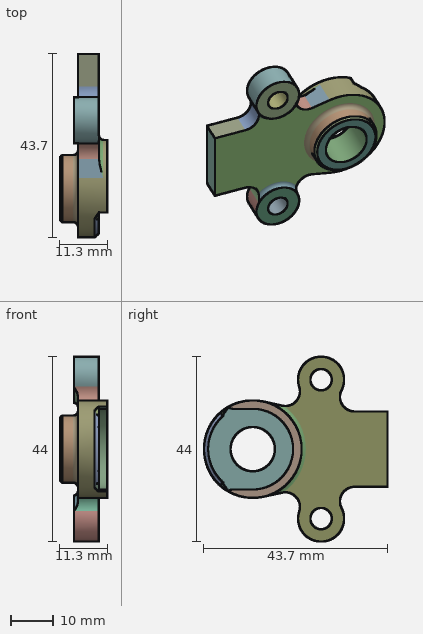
import cadquery as cq
import math

plate_front = 0.0
plate_back = 5.0
boss_front = -4.22
lug_front = -0.95
pad_back = 7.05

disc_radius = 11.6
tail_end = 32.05
tail_half_width = 8.98
flank_angle = math.radians(12.4)
neck_blend_radius = 3.45

lug_y = 16.25
lug_z = 16.5
lug_radius = 5.5
lug_hole_radius = 2.5
lug_blend = 1.0

boss_radius = 8.0
bore_radius = 5.25
boss_chamfer = 0.55
boss_blend = 1.05

rim_blend = 1.05
recess_half_width = 9.6
recess_mouth_y = -5.7
mouth_flare_radius = 0.95

edge_chamfer = 1.0
runout_y = -7.15
runout_z = 8.1
runout_taper = 32.0


def cylinder(radius, start, end, y=0.0, z=0.0):
    """Cylinder along X between two X positions."""
    return cq.Workplane("YZ", origin=(start, y, z)).circle(radius).extrude(end - start)


def blend_collar(radius, blend, base_x, direction, y=0.0, z=0.0):
    """Disc with a concave rim that flares out onto a face at base_x."""
    tip_x = direction * blend
    mid_offset = blend * (1 - math.sqrt(0.5))
    profile = (
        cq.Workplane("XY", origin=(base_x, y, z))
        .lineTo(0, radius + blend)
        .threePointArc((direction * mid_offset, radius + mid_offset), (tip_x, radius))
        .lineTo(tip_x, 0)
        .close()
    )
    return profile.revolve(360, (0, 0, 0), (1, 0, 0))


def toward(start, end, distance):
    """Point at a distance from start, in the direction of end."""
    length = math.dist(start, end)
    return tuple(p + (q - p) * distance / length for p, q in zip(start, end))


def blend_center_on_flank():
    """Center of the arc tangent to both the sloped flank and the lug."""
    normal = (math.sin(flank_angle), math.cos(flank_angle))
    along = (math.cos(flank_angle), -math.sin(flank_angle))
    offset = disc_radius + neck_blend_radius
    lug_along = lug_y * along[0] + lug_z * along[1]
    lug_offset = lug_y * normal[0] + lug_z * normal[1]
    gap = math.sqrt((lug_radius + neck_blend_radius) ** 2 - (lug_offset - offset) ** 2)
    distance = lug_along - gap
    return tuple(n * offset + t * distance for n, t in zip(normal, along))


def blend_center_on_tail():
    """Center of the arc tangent to both the tail side and the lug."""
    center_z = tail_half_width + neck_blend_radius
    gap = math.sqrt((lug_radius + neck_blend_radius) ** 2 - (lug_z - center_z) ** 2)
    return (lug_y + gap, center_z)


def half_outline(start, end):
    """Upper half of the plate outline: disc, flank, neck and tail."""
    lug = (lug_y, lug_z)
    near = blend_center_on_flank()
    far = blend_center_on_tail()
    radius = neck_blend_radius
    flank_start = (disc_radius * math.sin(flank_angle), disc_radius * math.cos(flank_angle))
    flank_end = (near[0] - radius * math.sin(flank_angle), near[1] - radius * math.cos(flank_angle))
    near_top = toward(near, lug, radius)
    far_top = toward(far, lug, radius)
    far_bottom = (far[0], tail_half_width)

    def arc_middle(center, first, second):
        chord_middle = ((first[0] + second[0]) / 2, (first[1] + second[1]) / 2)
        return toward(center, chord_middle, radius)

    return (
        cq.Workplane("YZ", origin=(start, 0, 0))
        .moveTo(-disc_radius, 0)
        .threePointArc((-disc_radius * math.sqrt(0.5), disc_radius * math.sqrt(0.5)), flank_start)
        .lineTo(*flank_end)
        .threePointArc(arc_middle(near, flank_end, near_top), near_top)
        .lineTo(*lug)
        .lineTo(*far_top)
        .threePointArc(arc_middle(far, far_top, far_bottom), far_bottom)
        .lineTo(tail_end, tail_half_width)
        .lineTo(tail_end, 0)
        .close()
        .extrude(end - start)
    )


def outline_prism(start, end):
    """Whole plate outline between two X positions."""
    upper = half_outline(start, end)
    return upper.union(upper.mirror("XY"))


def rim_recess():
    """Space inside the rim: round at +Y, straight sides, flared mouth at -Y."""
    mouth_half_width = math.sqrt(disc_radius**2 - recess_mouth_y**2)
    flare_cos = 1 - (mouth_half_width - recess_half_width) / mouth_flare_radius
    flare_angle = math.acos(flare_cos)
    flare_start_y = recess_mouth_y + mouth_flare_radius * math.sin(flare_angle)
    flare_mid_y = flare_start_y - mouth_flare_radius * math.sin(flare_angle / 2)
    flare_mid_z = recess_half_width + mouth_flare_radius * (1 - math.cos(flare_angle / 2))
    return (
        cq.Workplane("YZ", origin=(plate_back, 0, 0))
        .moveTo(0, recess_half_width)
        .lineTo(flare_start_y, recess_half_width)
        .threePointArc((flare_mid_y, flare_mid_z), (recess_mouth_y, mouth_half_width))
        .lineTo(-2 * disc_radius, mouth_half_width)
        .lineTo(-2 * disc_radius, -mouth_half_width)
        .lineTo(recess_mouth_y, -mouth_half_width)
        .threePointArc((flare_mid_y, -flare_mid_z), (flare_start_y, -recess_half_width))
        .lineTo(0, -recess_half_width)
        .threePointArc((recess_half_width, 0), (0, recess_half_width))
        .close()
        .extrude(pad_back - plate_back)
    )


def edge_chamfer_cutter():
    """Ring cutting the open back edge, with a sloped run-out at each end."""
    ring = (
        cq.Workplane("XY")
        .moveTo(plate_back, disc_radius - edge_chamfer)
        .lineTo(plate_back, disc_radius)
        .lineTo(plate_back - edge_chamfer, disc_radius)
        .close()
        .revolve(360, (0, 0, 0), (1, 0, 0))
    )
    mouth_half_width = math.sqrt(disc_radius**2 - recess_mouth_y**2)
    keeper = (
        cq.Workplane("YZ", origin=(plate_back, 0, 0))
        .moveTo(2 * recess_mouth_y - runout_y, 2 * mouth_half_width - runout_z)
        .lineTo(runout_y, runout_z)
        .lineTo(runout_y / 2, runout_z / 2)
        .lineTo(0, runout_z / 2)
        .close()
        .extrude(-edge_chamfer, taper=-runout_taper)
    )
    rest = (
        cq.Workplane("XY")
        .box(plate_back, 2 * disc_radius, 2 * disc_radius, centered=(False, False, True))
        .translate((0, recess_mouth_y, 0))
    )
    return ring.cut(rest).cut(keeper).cut(keeper.mirror("XY"))


rim = cylinder(disc_radius, plate_back, pad_back)
rim_flare = blend_collar(disc_radius, rim_blend, plate_back, 1)
rim_flare = rim_flare.intersect(outline_prism(plate_back, pad_back))
result = outline_prism(plate_front, plate_back).union(rim).union(rim_flare)
result = result.cut(rim_recess()).cut(edge_chamfer_cutter())

boss = cylinder(boss_radius, boss_front, plate_back).faces("<X").chamfer(boss_chamfer)
result = result.union(boss).union(blend_collar(boss_radius, boss_blend, plate_front, -1))

neck_prism = outline_prism(lug_front, plate_front)
for side in (1, -1):
    center_z = side * lug_z
    collar = blend_collar(lug_radius, lug_blend, plate_front, -1, lug_y, center_z)
    result = result.union(collar.intersect(neck_prism))
    result = result.union(cylinder(lug_radius, lug_front, plate_back, lug_y, center_z))

result = result.cut(cylinder(bore_radius, boss_front, pad_back))
for side in (1, -1):
    result = result.cut(cylinder(lug_hole_radius, lug_front, plate_back, lug_y, side * lug_z))